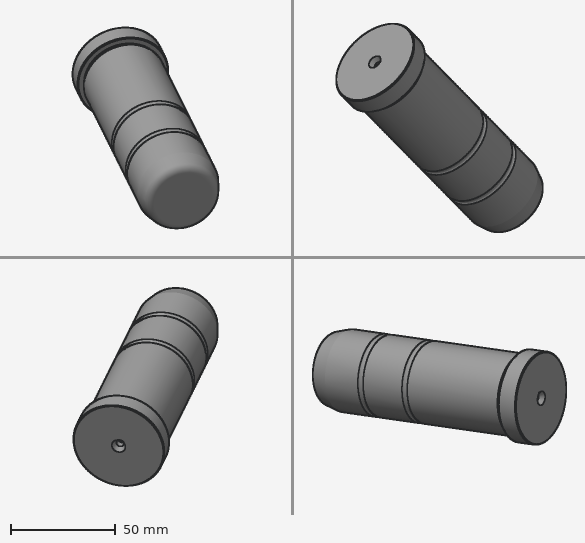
import cadquery as cq
import math

total_length = 120.0
head_radius = 45.0 / 2
head_length = 10.0
head_edge = 0.5
body_radius = 20.0

relief_depth = 0.6
relief_end = 11.4
body_start = 12.0

groove_centers = (64.8, 89.9)
groove_width = 3.0
groove_depth = 0.7

taper_start = 110.0
taper_angle = math.radians(15)
tip_radius = 3.8

countersink_radius = 3.4
countersink_half_angle = math.radians(30)
pilot_radius = 1.8
pilot_length = 3.6
drill_half_angle = math.radians(59)


def add_groove(profile, center):
    """Continue the body line to a groove and follow its round bottom."""
    half_width = groove_width / 2
    return profile.lineTo(center - half_width, body_radius).threePointArc(
        (center, body_radius - groove_depth), (center + half_width, body_radius)
    )


def make_pin():
    """Revolve the outer half profile, drawn as (axial position, radius)."""
    neck_radius = body_radius - relief_depth
    profile = (
        cq.Workplane("XY")
        .lineTo(0, head_radius - head_edge)
        .lineTo(head_edge, head_radius)
        .lineTo(head_length - head_edge, head_radius)
        .lineTo(head_length, head_radius - head_edge)
        .lineTo(head_length, neck_radius)
        .lineTo(relief_end, neck_radius)
        .lineTo(body_start, body_radius)
    )
    for center in groove_centers:
        profile = add_groove(profile, center)

    arc_center_x = total_length - tip_radius
    taper_end_x = arc_center_x + tip_radius * math.sin(taper_angle)
    taper_end_radius = body_radius - (taper_end_x - taper_start) * math.tan(taper_angle)
    arc_center_radius = taper_end_radius - tip_radius * math.cos(taper_angle)
    arc_middle_angle = (math.pi / 2 - taper_angle) / 2
    arc_middle = (
        arc_center_x + tip_radius * math.cos(arc_middle_angle),
        arc_center_radius + tip_radius * math.sin(arc_middle_angle),
    )
    profile = (
        profile.lineTo(taper_start, body_radius)
        .lineTo(taper_end_x, taper_end_radius)
        .threePointArc(arc_middle, (total_length, arc_center_radius))
        .lineTo(total_length, 0)
        .close()
    )
    return profile.revolve(360, (0, 0, 0), (1, 0, 0))


def make_center_hole():
    """Countersink, pilot bore and conical drill point as one cutter."""
    countersink_depth = (countersink_radius - pilot_radius) / math.tan(countersink_half_angle)
    pilot_end = countersink_depth + pilot_length
    drill_tip = pilot_end + pilot_radius / math.tan(drill_half_angle)
    return (
        cq.Workplane("XY")
        .lineTo(0, countersink_radius)
        .lineTo(countersink_depth, pilot_radius)
        .lineTo(pilot_end, pilot_radius)
        .lineTo(drill_tip, 0)
        .close()
        .revolve(360, (0, 0, 0), (1, 0, 0))
    )


result = make_pin().cut(make_center_hole())